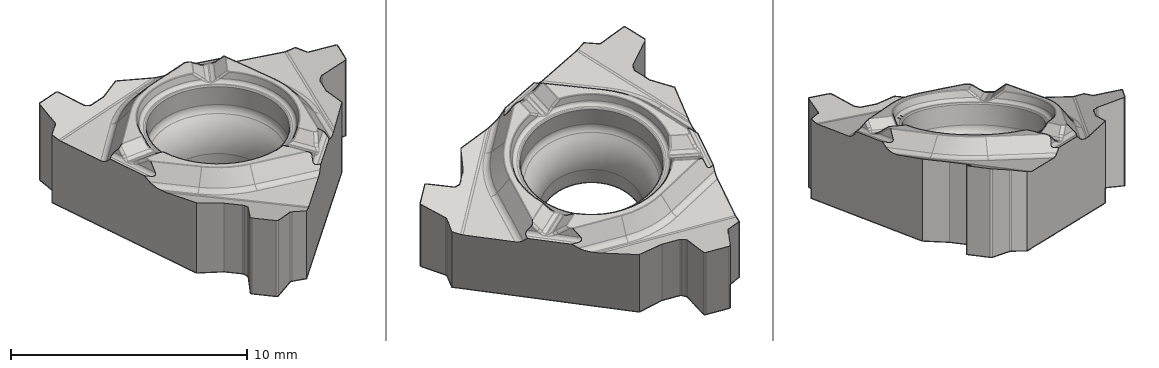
import cadquery as cq
import math


tooth_reach = 6.69
flank_reach = 4.78
total_height = 4.2
lobe_angles = (0, 120, 240)
oversize = 9.38
top_clearance = 0.13
selection_margin = 0.07

tooth_center_x = -3.24
tooth_tip_half = 0.59
tooth_flank_angle = math.radians(15)
left_shoulder_y = 5.15
left_root_y = 5.48
right_bevel_y = 5.45
right_bevel_foot_x = -2.1
right_root_y = 5.29
right_flat_end_x = -1.26
shoulder_slope = math.tan(math.radians(15))
side_normal_angle = math.radians(60)
tip_radius = 0.1
left_root_radius = 0.13
right_root_radius = 0.13

floor_z = 3.38
ramp_start = 4.72
ramp_angle = math.radians(15)
ramp_blend_radius = 0.4

boss_top_reach = 3.73
boss_wall_angle = 50
boss_root_radius = 0.39
boss_edge_radius = 0.04
boss_arc = 32

hole_radius = 2.2
seat_radius = 2.2
seat_blend_radius = 0.5
counterbore_radius = 3.03
counterbore_bottom_z = 2.76
ledge_z = 3.73
lip_radius = 0.05
recess_corner_radius = 3.31
recess_root_radius = 0.2
rim_radius = 3.45

notch_angle = 165
notch_offset_left = 0.06
notch_floor_z = 3.75
notch_floor_half = 0.03
notch_root_radius = 0.32
notch_flank_angle = math.radians(37)
notch_inner_radius = 0.11
notch_outer_radius = 0.16

relief_floor_z = 3.7
relief_floor_width = 0.28
relief_wall_slope = math.tan(math.radians(70))
relief_root_radius = 0.21


def turned(point, degrees):
    """Turn a plan point about the Z axis."""
    a = math.radians(degrees)
    x, y = point
    return (x * math.cos(a) - y * math.sin(a), x * math.sin(a) + y * math.cos(a))


def repeat_around(solid):
    """Union of a solid turned to the three lobes."""
    copies = cq.Workplane("XY")
    for angle in lobe_angles:
        copies = copies.union(solid.rotate((0, 0, 0), (0, 0, 1), angle))
    return copies


def root_arc_point(start_x, start_z, radius, sweep):
    """Point on an arc that leaves the start along +x and curves upward."""
    return (start_x + radius * math.sin(sweep), start_z + radius * (1 - math.cos(sweep)))


def tooth_half_width(y):
    return tooth_tip_half + (tooth_reach - y) * math.tan(tooth_flank_angle)


def lobe_points():
    """Plan corners of the lobe toward +Y, from the -X face to the next side face."""
    half_left = tooth_half_width(left_root_y)
    half_right = tooth_half_width(right_bevel_y)
    normal_x = math.cos(side_normal_angle)
    normal_y = math.sin(side_normal_angle)
    gap = flank_reach - right_flat_end_x * normal_x - right_root_y * normal_y
    run = gap / (normal_x + shoulder_slope * normal_y)
    return [
        (-flank_reach, left_shoulder_y),
        (tooth_center_x - half_left, left_root_y),
        (tooth_center_x - tooth_tip_half, tooth_reach),
        (tooth_center_x + tooth_tip_half, tooth_reach),
        (tooth_center_x + half_right, right_bevel_y),
        (right_bevel_foot_x, right_root_y),
        (right_flat_end_x, right_root_y),
        (right_flat_end_x + run, right_root_y + run * shoulder_slope),
    ]


def insert_prism():
    lobe = lobe_points()
    outline = [turned(p, -angle) for angle in lobe_angles for p in lobe]
    prism = cq.Workplane("XY").polyline(outline).close().extrude(total_height)
    corner_radii = (left_root_radius, tip_radius, tip_radius, right_root_radius, right_root_radius)
    for index, radius in enumerate(corner_radii, start=1):
        for angle in lobe_angles:
            x, y = turned(lobe[index], -angle)
            corner = cq.selectors.NearestToPointSelector((x, y, total_height / 2))
            prism = prism.edges("|Z").edges(corner).fillet(radius)
    return prism


def boss_outline(reach):
    """Three arcs about the axis, joined by tangent lines that meet in corners."""
    corner_turn = (120 - boss_arc) / 2
    corner_reach = reach / math.cos(math.radians(corner_turn))
    outline = cq.Workplane("XY").moveTo(*turned((reach, 0), 90))
    for start in [90 + angle for angle in lobe_angles]:
        arc_middle = turned((reach, 0), start + boss_arc / 2)
        arc_end = turned((reach, 0), start + boss_arc)
        outline = outline.threePointArc(arc_middle, arc_end)
        outline = outline.lineTo(*turned((corner_reach, 0), start + boss_arc + corner_turn))
        outline = outline.lineTo(*turned((reach, 0), start + 120))
    return outline.close()


def ramp():
    """Rising wedge for the +Y lobe, blended into the chip floor."""
    blend_start = ramp_start - ramp_blend_radius * math.tan(ramp_angle / 2)
    blend_middle = root_arc_point(blend_start, floor_z, ramp_blend_radius, ramp_angle / 2)
    blend_end = root_arc_point(blend_start, floor_z, ramp_blend_radius, ramp_angle)
    far_z = floor_z + (oversize - ramp_start) * math.tan(ramp_angle)
    return (cq.Workplane("YZ")
            .moveTo(blend_start, 0)
            .lineTo(blend_start, floor_z)
            .threePointArc(blend_middle, blend_end)
            .lineTo(oversize, far_z)
            .lineTo(oversize, 0)
            .close()
            .extrude(oversize, both=True))


def top_envelope():
    """Floor slab with the filleted boss, the bore and the ramps, wider than the insert."""
    boss_height = total_height - floor_z
    boss_foot = boss_top_reach + boss_height / math.tan(math.radians(boss_wall_angle))
    boss = boss_outline(boss_foot).extrude(boss_height, taper=90 - boss_wall_angle)
    boss = boss.translate((0, 0, floor_z))
    slab = cq.Workplane("XY").circle(oversize).extrude(floor_z)
    within = oversize - selection_margin
    boss_root = cq.selectors.BoxSelector(
        (-within, -within, floor_z - selection_margin),
        (within, within, floor_z + selection_margin),
        boundingbox=True)
    body = slab.union(boss).edges(boss_root).fillet(boss_root_radius)
    return body.cut(bore_cutter()).union(repeat_around(ramp()))


def bore_cutter():
    """Hole with a curved seat, a counterbore and a recess with a rounded lip."""
    sweep = math.acos(1 - (counterbore_radius - hole_radius) / (seat_radius + seat_blend_radius))
    blend_center_r = counterbore_radius - seat_blend_radius

    def blend_point(a):
        return (blend_center_r + seat_blend_radius * math.cos(a),
                counterbore_bottom_z - seat_blend_radius * math.sin(a))

    seat_end_z = counterbore_bottom_z - (seat_radius + seat_blend_radius) * math.sin(sweep)

    def seat_point(a):
        return (hole_radius + seat_radius * (1 - math.cos(a)), seat_end_z + seat_radius * math.sin(a))

    lip_z = ledge_z - lip_radius
    lip_center_r = counterbore_radius + lip_radius
    wall_angle = math.atan2(total_height - ledge_z, rim_radius - recess_corner_radius)
    root_run = recess_root_radius * math.tan(wall_angle / 2)
    root_start = (recess_corner_radius - root_run, ledge_z)
    root_middle = root_arc_point(*root_start, recess_root_radius, wall_angle / 2)
    root_end = root_arc_point(*root_start, recess_root_radius, wall_angle)
    lip_shift = lip_radius * math.sqrt(0.5)
    return (cq.Workplane("XZ")
            .lineTo(hole_radius, 0)
            .lineTo(hole_radius, seat_end_z)
            .threePointArc(seat_point(sweep / 2), seat_point(sweep))
            .threePointArc(blend_point(sweep / 2), (counterbore_radius, counterbore_bottom_z))
            .lineTo(counterbore_radius, lip_z)
            .threePointArc((lip_center_r - lip_shift, lip_z + lip_shift), (lip_center_r, ledge_z))
            .lineTo(*root_start)
            .threePointArc(root_middle, root_end)
            .lineTo(rim_radius, total_height)
            .lineTo(0, total_height)
            .close()
            .revolve(360, (0, 0, 0), (0, 1, 0)))


def notch_cutter():
    """Channel along +X with rounded roots, turned to its place on the boss."""
    a = notch_flank_angle
    root_x, root_z = root_arc_point(notch_floor_half, notch_floor_z, notch_root_radius, a)
    mid_x, mid_z = root_arc_point(notch_floor_half, notch_floor_z, notch_root_radius, a / 2)
    top_z = total_height + top_clearance
    top_x = root_x + (top_z - root_z) / math.tan(a)
    channel = (cq.Workplane("YZ").moveTo(-notch_floor_half, notch_floor_z)
               .lineTo(notch_floor_half, notch_floor_z)
               .threePointArc((mid_x, mid_z), (root_x, root_z))
               .lineTo(top_x, top_z)
               .lineTo(-top_x, top_z)
               .lineTo(-root_x, root_z)
               .threePointArc((-mid_x, mid_z), (-notch_floor_half, notch_floor_z))
               .close().extrude(oversize))
    return channel.translate((0, notch_offset_left, 0)).rotate((0, 0, 0), (0, 0, 1), notch_angle)


def relief_cutter():
    """Shelf along the -X face with a sloped, root-rounded wall."""
    wall_foot = relief_floor_width - flank_reach
    top_z = total_height + top_clearance
    wall_top = wall_foot + (top_z - relief_floor_z) / relief_wall_slope
    shelf = (cq.Workplane("XZ").moveTo(-oversize, relief_floor_z)
             .lineTo(wall_foot, relief_floor_z)
             .lineTo(wall_top, top_z)
             .lineTo(-oversize, top_z)
             .close().extrude(oversize / 2, both=True))
    root = cq.selectors.NearestToPointSelector((wall_foot, 0, relief_floor_z))
    return shelf.edges("|Y").edges(root).fillet(relief_root_radius)


def round_notch_ends(body, end_reach, radius):
    """Round the convex edge at one end of every notch; edges tangent to it follow along."""
    pick_z = (notch_floor_z + total_height) / 2
    flank_run = (pick_z - notch_floor_z) / math.tan(notch_flank_angle)
    pick_y = notch_offset_left + notch_floor_half + flank_run
    edges = []
    for angle in lobe_angles:
        x, y = turned((end_reach, pick_y), notch_angle + angle)
        edges += body.edges(cq.selectors.NearestToPointSelector((x, y, pick_z))).vals()
    return body.newObject(edges).fillet(radius)


result = insert_prism().intersect(top_envelope())
result = result.cut(repeat_around(notch_cutter()))
result = result.cut(repeat_around(relief_cutter()))
result = round_notch_ends(result, recess_corner_radius, notch_inner_radius)
result = round_notch_ends(result, flank_reach - relief_floor_width, notch_outer_radius)
result = result.faces(">Z").edges().fillet(boss_edge_radius)